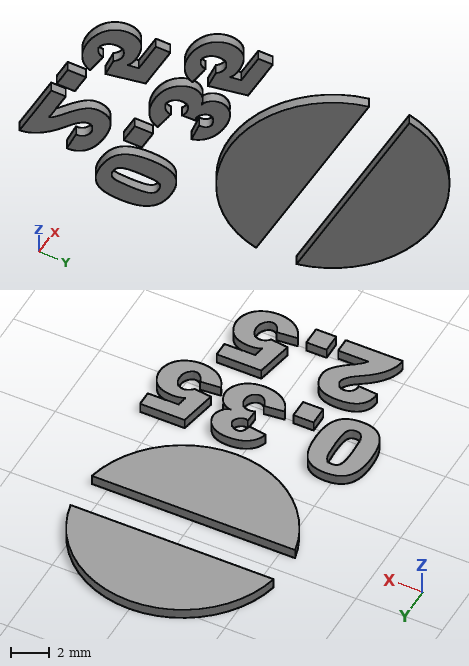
import cadquery as cq

thickness = 0.6

disc_radius = 6.0
disc_gap = 2.38

digit_advance = 3.69
point_advance = digit_advance / 2
digit_height = 3.97
round_overshoot = 0.09
line_spacing = 5.0
total_length = 22.07
second_baseline = disc_radius - total_length + round_overshoot
first_baseline = second_baseline + line_spacing

round_top = digit_height + round_overshoot
round_bottom = -round_overshoot

point_width = 1.17
point_height = 1.08
point_left = 0.3

zero_center_x = 1.79
zero_half_width = 1.63
zero_half_height = digit_height / 2 + round_overshoot
zero_fullness = 0.7
counter_shift = -0.02
counter_half_width = 0.53
counter_half_height = 1.35
counter_fullness = 0.8


def disc_segment(side):
    """The part of the disc above (side = 1) or below (side = -1) the gap."""
    chord_y = side * disc_gap / 2
    chord_half = (disc_radius**2 - chord_y**2) ** 0.5
    return (
        cq.Workplane("XY")
        .moveTo(-chord_half, chord_y)
        .threePointArc((0, side * disc_radius), (chord_half, chord_y))
        .close()
        .extrude(thickness)
    )


def plate(stretches):
    """A plate whose outline follows the stretches: two points make a line, more a smooth curve."""
    outline = cq.Workplane("XY").moveTo(*stretches[0][0])
    for stretch in stretches:
        if len(stretch) == 2:
            outline = outline.lineTo(*stretch[1])
        else:
            outline = outline.spline(stretch[1:], includeCurrent=True)
    return outline.close().extrude(thickness)


def oval_plate(center_x, half_width, half_height, fullness):
    """An oval plate at mid digit height, each quarter of it one cubic Bezier curve."""
    handle_x = fullness * half_width
    handle_y = fullness * half_height
    return (
        cq.Workplane("XY")
        .moveTo(half_width, 0)
        .bezier(
            [(half_width, handle_y), (handle_x, half_height), (0, half_height)],
            includeCurrent=True,
        )
        .bezier(
            [(-handle_x, half_height), (-half_width, handle_y), (-half_width, 0)],
            includeCurrent=True,
        )
        .bezier(
            [(-half_width, -handle_y), (-handle_x, -half_height), (0, -half_height)],
            includeCurrent=True,
        )
        .bezier(
            [(handle_x, -half_height), (half_width, -handle_y), (half_width, 0)],
            includeCurrent=True,
        )
        .close()
        .extrude(thickness)
        .translate((center_x, digit_height / 2, 0))
    )




def decimal_point():
    return (
        cq.Workplane("XY")
        .rect(point_width, point_height, centered=False)
        .extrude(thickness)
        .translate((point_left, 0, 0))
    )


def digit_zero():
    ring = oval_plate(zero_center_x, zero_half_width, zero_half_height, zero_fullness)
    counter = oval_plate(
        zero_center_x + counter_shift, counter_half_width, counter_half_height, counter_fullness
    )
    return ring.cut(counter)


def digit_two():
    foot_left = (0.13, 0)
    foot_right = (3.45, 0)
    foot_top = (3.45, 0.85)
    crotch = (1.7, 0.85)
    hook_outer = (0.2, 2.75)
    hook_inner = (1.32, 2.67)
    outer_curve = [
        crotch,
        (1.83, 1.04),
        (2.4, 1.48),
        (3.0, 1.96),
        (3.33, 2.43),
        (3.4, 2.87),
        (3.11, 3.65),
        (1.88, round_top),
        (0.62, 3.73),
        hook_outer,
    ]
    inner_curve = [
        hook_inner,
        (1.45, 3.11),
        (1.8, 3.27),
        (2.2, 3.11),
        (2.32, 2.82),
        (2.16, 2.47),
        (1.32, 1.8),
        (0.49, 1.0),
        foot_left,
    ]
    return plate(
        [
            [foot_left, foot_right],
            [foot_right, foot_top],
            [foot_top, crotch],
            outer_curve,
            [hook_outer, hook_inner],
            inner_curve,
        ]
    )


def digit_three():
    upper_tip_outer = (0.25, 3.0)
    upper_tip_inner = (1.3, 2.85)
    waist = (2.7, 2.2)
    lower_tip_outer = (0.15, 1.05)
    lower_tip_inner = (1.3, 1.2)
    bar_bottom = (1.5, 1.72)
    bar_top = (1.52, 2.52)
    upper_outer_curve = [
        upper_tip_outer,
        (0.75, 3.75),
        (1.8, round_top),
        (2.91, 3.75),
        (3.29, 3.05),
        (3.13, 2.52),
        waist,
    ]
    lower_outer_curve = [
        waist,
        (3.25, 1.92),
        (3.5, 1.25),
        (3.05, 0.29),
        (1.85, round_bottom),
        (0.66, 0.29),
        lower_tip_outer,
    ]
    lower_inner_curve = [
        lower_tip_inner,
        (1.45, 0.8),
        (1.85, 0.6),
        (2.25, 0.82),
        (2.38, 1.24),
        (2.25, 1.63),
        (1.88, 1.8),
        bar_bottom,
    ]
    upper_inner_curve = [
        bar_top,
        (1.99, 2.55),
        (2.2, 3.0),
        (1.79, 3.38),
        upper_tip_inner,
    ]
    return plate(
        [
            upper_outer_curve,
            lower_outer_curve,
            [lower_tip_outer, lower_tip_inner],
            lower_inner_curve,
            [bar_bottom, bar_top],
            upper_inner_curve,
            [upper_tip_inner, upper_tip_outer],
        ]
    )


def digit_five():
    flag_left = (0.75, digit_height)
    flag_right = (3.33, digit_height)
    flag_bottom = (3.33, 3.11)
    stem_top = (1.55, 3.11)
    stem_bottom = (1.45, 2.52)
    tip_outer = (0.18, 1.02)
    tip_inner = (1.35, 1.13)
    heel_inner = (1.35, 1.72)
    heel_outer = (0.33, 1.83)
    outer_curve = [
        stem_bottom,
        (1.85, 2.65),
        (2.35, 2.65),
        (3.1, 2.38),
        (3.53, 1.48),
        (3.18, 0.45),
        (1.95, round_bottom),
        (0.66, 0.29),
        tip_outer,
    ]
    inner_curve = [
        tip_inner,
        (1.52, 0.75),
        (1.83, 0.6),
        (2.25, 0.84),
        (2.4, 1.32),
        (2.25, 1.8),
        (1.88, 1.99),
        (1.55, 1.9),
        heel_inner,
    ]
    return plate(
        [
            [flag_left, flag_right],
            [flag_right, flag_bottom],
            [flag_bottom, stem_top],
            [stem_top, stem_bottom],
            outer_curve,
            [tip_outer, tip_inner],
            inner_curve,
            [heel_inner, heel_outer],
            [heel_outer, flag_left],
        ]
    )


glyphs = {
    "0": (digit_zero, digit_advance),
    "2": (digit_two, digit_advance),
    "3": (digit_three, digit_advance),
    "5": (digit_five, digit_advance),
    ".": (decimal_point, point_advance),
}


def text_line(text, baseline):
    """One solid per character, with the line centred on x = 0."""
    x = -sum(glyphs[character][1] for character in text) / 2
    solids = []
    for character in text:
        make_glyph, advance = glyphs[character]
        solids.append(make_glyph().translate((x, baseline, 0)).val())
        x += advance
    return solids


disc_segments = [disc_segment(side).val() for side in (1, -1)]
first_line = text_line("0.35", first_baseline)
second_line = text_line("2.5", second_baseline)

result = cq.Compound.makeCompound([*disc_segments, *first_line, *second_line])